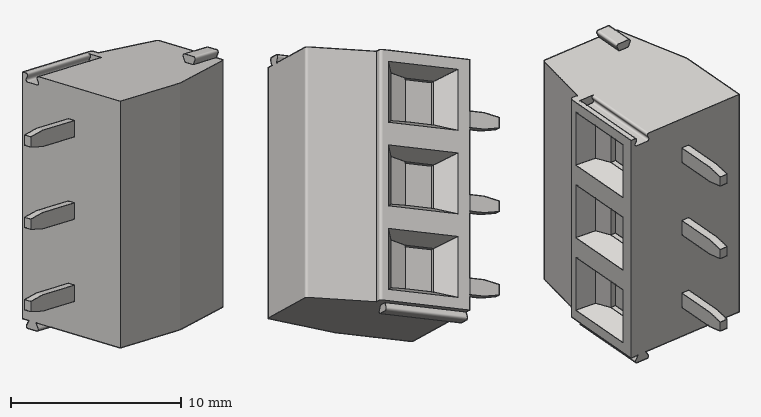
import cadquery as cq
import math


pole_count = 3
total_height = 16.24
total_depth = 13.65
body_width = 8.1
body_depth = 10.0
rail_height = 0.5
body_height = total_height - 2 * rail_height
pole_pitch = body_height / pole_count
pole_centres = [(pole + 0.5) * pole_pitch for pole in range(pole_count)]

entry_step_depth = 5.8
entry_step_width = 0.54
far_bend_depth = 5.0
screw_face_left = 1.3
screw_face_right = 6.75
edge_radius = 0.2

pin_length = total_depth - body_depth
pin_thickness = 0.52
pin_height = 1.0
pin_tip_height = 0.63
pin_straight_length = 2.66

funnel_near = 0.78
funnel_far = 5.26
funnel_height = 3.7
funnel_depth = 1.3
bend_far = 4.65
bend_depth = 0.99
recess_near = 1.74
recess_far = 3.57
recess_height = 2.65
recess_depth = 0.34

lower_rail_x = 0.81
lower_rail_length = 5.26
lower_rail_neck = 0.6
lower_rail_angle = 30.0
lower_rail_radius = 0.13
groove_depth = 0.54

upper_rail_x = 5.8
upper_rail_length = 1.93
upper_rail_neck = 0.68
upper_rail_angle = 25.0
upper_rail_radius = 0.138


def make_body():
    outline = [
        (0, 0),
        (body_width, 0),
        (body_width, far_bend_depth),
        (screw_face_right, body_depth),
        (screw_face_left, body_depth),
        (entry_step_width, entry_step_depth),
        (0, entry_step_depth),
    ]
    body = cq.Workplane("XY").polyline(outline).close().extrude(body_height)
    step_corner = cq.selectors.NearestToPointSelector((0, entry_step_depth, body_height / 2))
    return body.edges("|Z and >Y").add(body.edges(step_corner)).fillet(edge_radius)


def dovetail(neck, angle, height, length):
    """Bar along +Y with its neck centred on the origin, widening upward from Z = 0."""
    neck_half = neck / 2
    head_half = neck_half + height * math.tan(math.radians(angle))
    outline = [(-neck_half, 0), (neck_half, 0), (head_half, height), (-head_half, height)]
    return cq.Workplane("XZ").polyline(outline).close().extrude(-length)


def make_lower_rail():
    rail = dovetail(lower_rail_neck, lower_rail_angle, rail_height, lower_rail_length)
    rail = rail.edges("|Y and >Z").fillet(lower_rail_radius)
    return rail.mirror("XY").translate((lower_rail_x, 0, 0))


def make_upper_rail():
    rail = dovetail(upper_rail_neck, upper_rail_angle, rail_height, upper_rail_length)
    rail = rail.edges("|Y and >Z").fillet(upper_rail_radius)
    return rail.translate((upper_rail_x, body_depth - upper_rail_length, body_height))


def cut_groove(body):
    groove = dovetail(lower_rail_neck, lower_rail_angle, groove_depth, lower_rail_length)
    groove = groove.edges("|Y and >Z").fillet(lower_rail_radius)
    body = body.cut(groove.mirror("XY").translate((lower_rail_x, 0, body_height)))
    for side in (-1, 1):
        lip_middle = (lower_rail_x + side * lower_rail_neck / 2, lower_rail_length / 2, body_height)
        body = body.edges(cq.selectors.NearestToPointSelector(lip_middle)).fillet(lower_rail_radius)
    return body


def make_funnel(z_centre):
    """Tapered wire entry with a bent floor, ending in a straight-sided recess."""
    plan = [
        (0, funnel_near),
        (funnel_depth, recess_near),
        (funnel_depth, recess_far),
        (bend_depth, bend_far),
        (0, funnel_far),
    ]
    mouth_half = funnel_height / 2
    floor_half = recess_height / 2
    side = [(0, -mouth_half), (funnel_depth, -floor_half), (funnel_depth, floor_half), (0, mouth_half)]
    plan_prism = cq.Workplane("XY").polyline(plan).close().extrude(mouth_half, both=True)
    side_prism = cq.Workplane("XZ").polyline(side).close().extrude(-body_depth)
    recess = cq.Workplane("XY").box(
        recess_depth,
        recess_far - recess_near,
        recess_height,
        centered=(False, False, True),
    )
    recess = recess.translate((funnel_depth, recess_near, 0))
    return plan_prism.intersect(side_prism).union(recess).translate((0, 0, z_centre))


def make_pin(z_centre):
    half = pin_height / 2
    tip_half = pin_tip_height / 2
    outline = [
        (0, -half),
        (-pin_straight_length, -half),
        (-pin_length, -tip_half),
        (-pin_length, tip_half),
        (-pin_straight_length, half),
        (0, half),
    ]
    pin = cq.Workplane("YZ").polyline(outline).close().extrude(pin_thickness / 2, both=True)
    return pin.translate((body_width / 2, 0, z_centre))


result = cut_groove(make_body()).union(make_lower_rail()).union(make_upper_rail())
for z_centre in pole_centres:
    result = result.cut(make_funnel(z_centre)).union(make_pin(z_centre))